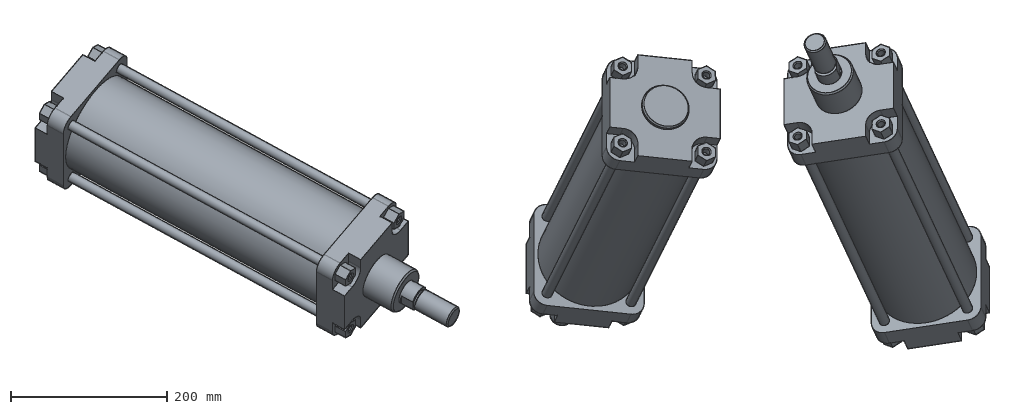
import cadquery as cq
import math


REAR_CAP_FACE = 6.0
CAP_THICKNESS = 43.5
BARREL_LENGTH = 392.0
NECK_LENGTH = 46.0
OVERALL_LENGTH = 605.0
BARREL_START = REAR_CAP_FACE + CAP_THICKNESS
BARREL_END = BARREL_START + BARREL_LENGTH
FRONT_CAP_FACE = BARREL_END + CAP_THICKNESS
NECK_END = FRONT_CAP_FACE + NECK_LENGTH

CAP_SIZE = 145.0
CAP_CORNER_RADIUS = 17.5
BOSS_RADIUS = 31.0
BOSS_CHAMFER_LENGTH = 2.5
BOSS_CHAMFER_HEIGHT = 2.0
NOTCH_DEPTH = 19.0
NOTCH_RADIUS = 19.5

BARREL_RADIUS = 67.0

TIE_ROD_OFFSET = CAP_SIZE / 2 - CAP_CORNER_RADIUS
TIE_ROD_RADIUS = 6.5
NUT_ACROSS_FLATS = 23.0
NUT_HEIGHT = 16.5
NUT_RECESS_RADIUS = 4.55
NUT_RECESS_CHAMFER = 1.5
NUT_RECESS_DEPTH = 12.0

ROD_RADIUS = 16.5
FLATS_START = 533.5
FLATS_END = 551.0
ACROSS_FLATS = 28.5
UNDERCUT_RADIUS = 13.0
THREAD_START = 554.0
THREAD_RADIUS = 14.5
THREAD_CHAMFER = 2.0

CORNERS = [
    (y_side * TIE_ROD_OFFSET, z_side * TIE_ROD_OFFSET)
    for y_side in (-1, 1)
    for z_side in (-1, 1)
]


def across_axis(x, y=0, z=0):
    """Workplane facing along +X, with its own first direction along Z."""
    return cq.Workplane(cq.Plane(origin=(x, y, z), xDir=(0, 0, 1), normal=(1, 0, 0)))


def cylinder(radius, start, end, y=0, z=0):
    """Cylinder along X between two positions."""
    return across_axis(start, y, z).circle(radius).extrude(end - start)


def corner_notch(y, z, start):
    """Cutter for the nut seat at one cap corner, with its inner corner rounded about the tie rod."""
    size = CAP_SIZE / 2 + NOTCH_RADIUS
    block = across_axis(start).rect(size, size).extrude(NOTCH_DEPTH)
    y_side = math.copysign(1, y)
    z_side = math.copysign(1, z)
    shift = size / 2 - NOTCH_RADIUS
    inner_edge = cq.selectors.NearestToPointSelector(
        (start + NOTCH_DEPTH / 2, -y_side * size / 2, -z_side * size / 2)
    )
    return (
        block.edges("|X")
        .edges(inner_edge)
        .fillet(NOTCH_RADIUS)
        .translate((0, y + y_side * shift, z + z_side * shift))
    )


def cap(start, notch_start):
    """Square end cap with tie-rod holes and a notch for the nut at each corner."""
    body = (
        across_axis(start)
        .rect(CAP_SIZE, CAP_SIZE)
        .extrude(CAP_THICKNESS)
        .edges("|X")
        .fillet(CAP_CORNER_RADIUS)
    )
    for y, z in CORNERS:
        body = body.cut(corner_notch(y, z, notch_start))
        body = body.cut(cylinder(TIE_ROD_RADIUS, start, start + CAP_THICKNESS, y, z))
    return body


def make_rear_cap():
    """Rear cap with a low chamfered boss."""
    boss = cylinder(BOSS_RADIUS, 0, REAR_CAP_FACE)
    boss = boss.faces("<X").chamfer(BOSS_CHAMFER_LENGTH, BOSS_CHAMFER_HEIGHT)
    return cap(REAR_CAP_FACE, REAR_CAP_FACE).union(boss)


def make_front_cap():
    """Front cap with a long neck, bored through for the piston rod."""
    neck = cylinder(BOSS_RADIUS, FRONT_CAP_FACE, NECK_END)
    neck = neck.faces(">X").chamfer(BOSS_CHAMFER_LENGTH, BOSS_CHAMFER_HEIGHT)
    bore = cylinder(ROD_RADIUS, BARREL_END, NECK_END)
    return cap(BARREL_END, FRONT_CAP_FACE - NOTCH_DEPTH).union(neck).cut(bore)


def make_piston_rod():
    """Piston rod with two wrench flats, an undercut and a chamfered threaded end."""
    rod = cylinder(ROD_RADIUS, BARREL_END, FLATS_END)
    flats_length = FLATS_END - FLATS_START
    flats_middle = (FLATS_START + FLATS_END) / 2
    for y_side in (-1, 1):
        cutter = cq.Workplane("XY").box(flats_length, ROD_RADIUS, 2 * ROD_RADIUS)
        y = y_side * (ACROSS_FLATS + ROD_RADIUS) / 2
        rod = rod.cut(cutter.translate((flats_middle, y, 0)))
    undercut = cylinder(UNDERCUT_RADIUS, FLATS_END, THREAD_START)
    thread = cylinder(THREAD_RADIUS, THREAD_START, OVERALL_LENGTH).faces(">X").chamfer(THREAD_CHAMFER)
    return rod.union(undercut).union(thread)


def nut(y, z, start):
    """Hexagonal nut with two of its corners pointing along Z."""
    corner_diameter = NUT_ACROSS_FLATS / math.cos(math.pi / 6)
    return across_axis(start, y, z).polygon(6, corner_diameter).extrude(NUT_HEIGHT)


def make_tie_rod(y, z):
    """Tie rod with a nut on each end; each nut face has a round recess with a chamfered rim."""
    rear_seat = REAR_CAP_FACE + NOTCH_DEPTH
    front_seat = FRONT_CAP_FACE - NOTCH_DEPTH
    rear_end = rear_seat - NUT_HEIGHT
    front_end = front_seat + NUT_HEIGHT
    body = (
        cylinder(TIE_ROD_RADIUS, rear_seat, front_seat, y, z)
        .union(nut(y, z, rear_end))
        .union(nut(y, z, front_seat))
    )
    rear_recess = cylinder(NUT_RECESS_RADIUS, rear_end, rear_end + NUT_RECESS_DEPTH, y, z)
    front_recess = cylinder(NUT_RECESS_RADIUS, front_end - NUT_RECESS_DEPTH, front_end, y, z)
    body = body.cut(rear_recess).cut(front_recess)
    rims = body.faces("<X or >X").edges("%CIRCLE")
    return rims.chamfer(NUT_RECESS_CHAMFER)


rear_cap = make_rear_cap()
front_cap = make_front_cap()
barrel = cylinder(BARREL_RADIUS, BARREL_START, BARREL_END)
piston_rod = make_piston_rod()
tie_rods = [make_tie_rod(y, z) for y, z in CORNERS]

result = cq.Compound.makeCompound(
    [
        rear_cap.val(),
        front_cap.val(),
        barrel.val(),
        piston_rod.val(),
        *[tie_rod.val() for tie_rod in tie_rods],
    ]
)